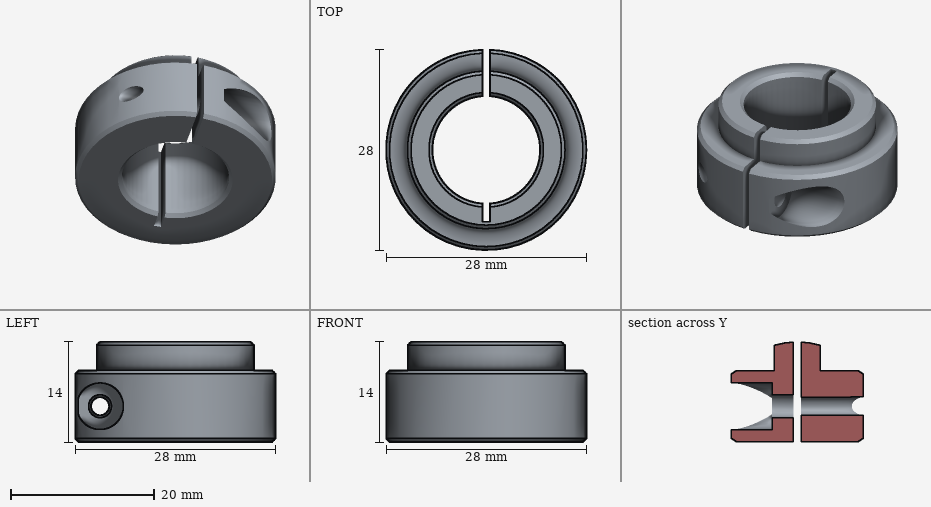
import cadquery as cq

body_diameter = 28.0
body_height = 10.0
hub_diameter = 22.0
total_height = 14.0
bore_diameter = 15.0
edge_chamfer = 0.5

slot_width = 1.0
relief_end_radius = 10.0

screw_y = 10.5
screw_z = body_height / 2
clearance_diameter = 3.2
tapped_diameter = 2.5
head_recess_diameter = 6.5
head_seat_x = -3.5

body_radius = body_diameter / 2
hub_radius = hub_diameter / 2
bore_radius = bore_diameter / 2


def make_collar():
    """Revolve the stepped ring section, with its outer and bore edges chamfered."""
    c = edge_chamfer
    section = [
        (bore_radius + c, 0),
        (body_radius - c, 0),
        (body_radius, c),
        (body_radius, body_height - c),
        (body_radius - c, body_height),
        (hub_radius, body_height),
        (hub_radius, total_height - c),
        (hub_radius - c, total_height),
        (bore_radius + c, total_height),
        (bore_radius, total_height - c),
        (bore_radius, c),
    ]
    return cq.Workplane("XZ").polyline(section).close().revolve(360, (0, 0), (0, 1))


def make_slot():
    """Full-height slot from the end of the relief out past the +Y wall."""
    slot_length = relief_end_radius + body_diameter
    return (
        cq.Workplane("XY")
        .center(0, slot_length / 2 - relief_end_radius)
        .rect(slot_width, slot_length)
        .extrude(total_height)
    )


def screw_cylinder(diameter, x_start, x_end):
    """Cylinder along the screw axis between two X positions."""
    return (
        cq.Workplane("YZ", origin=(x_start, screw_y, screw_z))
        .circle(diameter / 2)
        .extrude(x_end - x_start)
    )


def make_screw_hole():
    """Head recess and clearance hole on the -X side, tapped hole on the +X side."""
    head_recess = screw_cylinder(head_recess_diameter, -body_radius, head_seat_x)
    clearance_hole = screw_cylinder(clearance_diameter, head_seat_x, 0)
    tapped_hole = screw_cylinder(tapped_diameter, 0, body_radius)
    return head_recess.union(clearance_hole).union(tapped_hole)


result = make_collar().cut(make_slot()).cut(make_screw_hole())